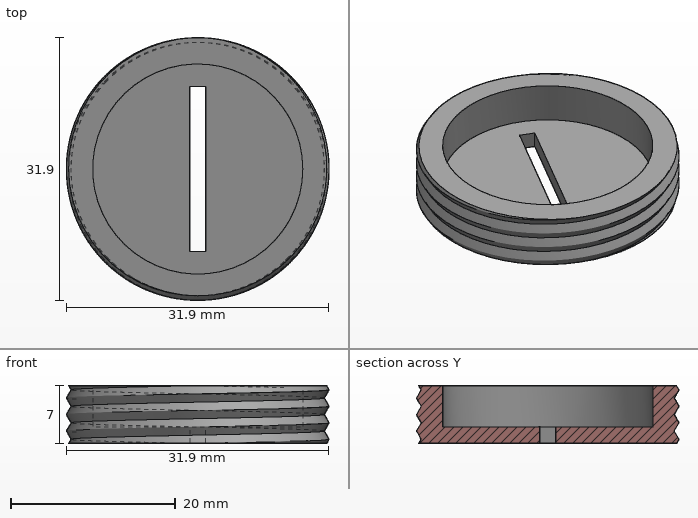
import cadquery as cq
import math

height = 7.0
crest_radius = 15.95

pitch = 2.0
thread_angle = 120.0
crest_land = 0.02
groove_width = pitch - crest_land
groove_depth = groove_width / 2 / math.tan(math.radians(thread_angle / 2))
root_radius = crest_radius - groove_depth
groove_phase = 1.5
turns_beyond_end = 2
cutter_overhang = 1.0

pocket_diameter = 25.5
floor_thickness = 2.0

slot_width = 1.9
slot_length = 20.0


def make_groove_cutter():
    """Helical V cutter that leaves the thread ridges between its turns."""
    start_z = groove_phase - turns_beyond_end * pitch
    cutter_height = height + 2 * turns_beyond_end * pitch
    helix = cq.Wire.makeHelix(pitch, cutter_height, root_radius).moved(
        cq.Location(cq.Vector(0, 0, start_z))
    )
    outer_radius = crest_radius + cutter_overhang
    top_z = start_z + groove_width / 2
    bottom_z = start_z - groove_width / 2
    profile = cq.Workplane("XZ").polyline(
        [
            (root_radius, start_z),
            (crest_radius, top_z),
            (outer_radius, top_z),
            (outer_radius, bottom_z),
            (crest_radius, bottom_z),
        ]
    ).close()
    return profile.sweep(cq.Workplane(obj=helix), isFrenet=True)


def make_pocket():
    """Cylinder that hollows the plug from the top down to its floor."""
    return (
        cq.Workplane("XY", origin=(0, 0, floor_thickness))
        .circle(pocket_diameter / 2)
        .extrude(height - floor_thickness)
    )


def make_slot():
    """Bar that cuts the coin slot, long along Y, through the floor."""
    return cq.Workplane("XY").rect(slot_width, slot_length).extrude(floor_thickness)


body = cq.Workplane("XY").circle(crest_radius).extrude(height)
result = body.cut(make_groove_cutter()).cut(make_pocket()).cut(make_slot())